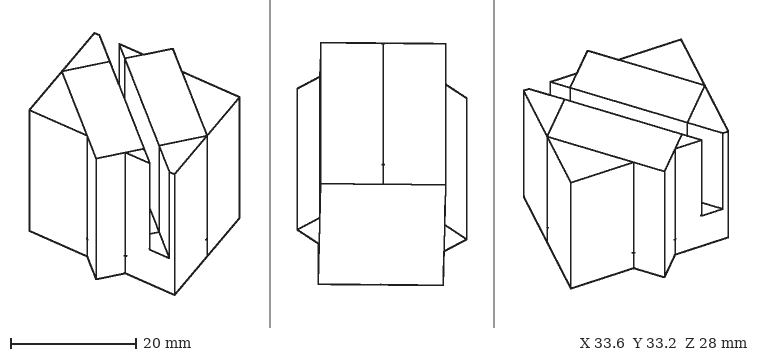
import cadquery as cq
import math

overall_length = 33.58
height = 28.0
holder_length = 27.25
holder_turn = 42.7
block_length = 20.05
block_width = 18.47
slot_width = 2.5
slot_depth = 20.0

turn = math.radians(holder_turn)
holder_width = (overall_length - holder_length * math.cos(turn)) / math.sin(turn)

slot_floor = height - slot_depth
seat_height = slot_floor / 2


def upright_box(length, width, box_height):
    """Box centred on the Z axis with its underside on Z = 0."""
    return cq.Workplane("XY").box(length, width, box_height, centered=(True, True, False))


def turned_box(box_height):
    """Box with the holder's outline, turned about the Z axis."""
    box = upright_box(holder_length, holder_width, box_height)
    return box.rotate((0, 0, 0), (0, 0, 1), holder_turn)


def make_slot():
    """Cutter for the slot along X, open at the top and at both ends."""
    cutter = upright_box(overall_length, slot_width, slot_depth)
    return cutter.translate((0, 0, slot_floor))


def make_holder():
    """Turned holder: a full lower plate with a corner post on each side of the block."""
    recess = upright_box(block_length, block_width, height - seat_height)
    recess = recess.translate((0, 0, seat_height))
    return turned_box(height).cut(recess).cut(make_slot())


def make_block():
    """Slotted block on the holder's plate, with two corners reaching down past it."""
    block = upright_box(block_length, block_width, height)
    return block.cut(turned_box(seat_height)).cut(make_slot())


holder = make_holder()
block = make_block()

result = cq.Compound.makeCompound([holder.val(), block.val()])